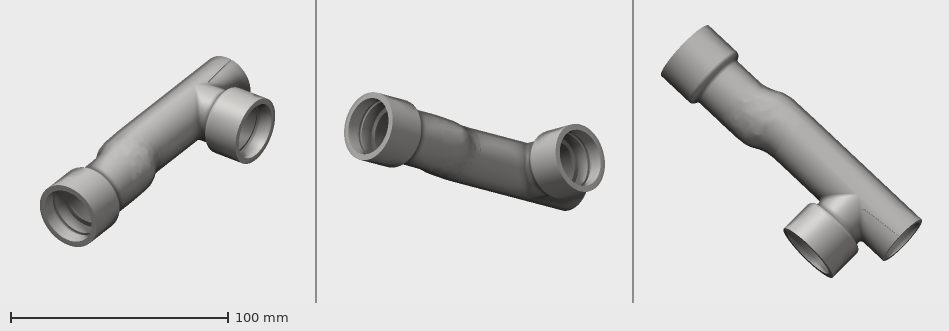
import cadquery as cq
import math


length = 134.8
branch_end_x = 29.7
pipe_radius = 26.0 / 2
bore_radius = 22.0 / 2

socket_radius = 32.0 / 2
socket_bore_radius = 26.4 / 2
socket_bore_depth = 15.0
ring_groove_radius = 28.5 / 2
ring_groove_start = 6.7
ring_groove_width = 1.9
lower_socket_length = 18.0
branch_socket_length = 15.9
shoulder_length = 4.0

branch_y = 107.9
branch_radius = 25.9 / 2
saddle_fillet = 1.5

axis_shift = 5.0
bend_mid_y = 49.8
hollow_length = 9.8
crown_length = 8.2
bend_reach = 15.1
bend_sections = 14

groove_width = 0.8
groove_depth = 0.4
groove_start_x = -0.7
groove_start_y = 113.5
groove_end_x = -2.5

upper_x = -axis_shift


def s_curve(distance):
    """Sideways shift of a bend side at a distance from the start of its hollow arc."""
    total_length = hollow_length + crown_length
    hollow_shift = axis_shift * hollow_length / total_length
    crown_shift = axis_shift - hollow_shift
    if distance <= 0:
        return 0.0
    if distance >= total_length:
        return axis_shift
    if distance <= hollow_length:
        hollow_radius = (hollow_length**2 + hollow_shift**2) / (2 * hollow_shift)
        return hollow_radius - math.sqrt(hollow_radius**2 - distance**2)
    crown_radius = (crown_length**2 + crown_shift**2) / (2 * crown_shift)
    remaining = total_length - distance
    return axis_shift - crown_radius + math.sqrt(crown_radius**2 - remaining**2)


def bend(radius):
    """Solid S-bend whose oval sections join two round ends of the given radius."""
    sections = cq.Workplane("XZ", origin=(0, bend_mid_y + bend_reach, 0))
    step = 2 * bend_reach / bend_sections
    for index in range(bend_sections + 1):
        travel = index * step
        right_shift = s_curve(travel)
        left_shift = axis_shift - s_curve(2 * bend_reach - travel)
        centre_x = upper_x + (right_shift + left_shift) / 2
        half_width = radius + max(0.0, (right_shift - left_shift) / 2)
        if index > 0:
            sections = sections.workplane(offset=step)
        sections = sections.center(centre_x - sections.plane.origin.x, 0).ellipse(half_width, radius)
    return sections.loft(ruled=False, combine=True)


def round_bar(radius, x, start_y, end_y):
    """Round bar parallel to the Y axis."""
    return cq.Workplane("XZ", origin=(x, start_y, 0)).circle(radius).extrude(start_y - end_y)


def offset_pipe(radius):
    """Lower pipe, S-bend and upper pipe as one solid of the given radius."""
    bend_bottom = bend_mid_y - bend_reach
    bend_top = bend_mid_y + bend_reach
    lower = round_bar(radius, 0, 0, bend_bottom)
    upper = round_bar(radius, upper_x, bend_top, length)
    return lower.union(bend(radius)).union(upper)


def socket_body(full_length, neck_radius):
    """Socket along +Y from its mouth at the origin, with an S-shaped shoulder down to its neck."""
    mid_radius = (socket_radius + neck_radius) / 2
    shoulder_end = full_length + shoulder_length
    return (
        cq.Workplane("XY")
        .lineTo(socket_radius, 0)
        .lineTo(socket_radius, full_length)
        .tangentArcPoint((mid_radius, full_length + shoulder_length / 2), relative=False)
        .tangentArcPoint((neck_radius, shoulder_end), relative=False)
        .lineTo(0, shoulder_end)
        .close()
        .revolve(360, (0, 0, 0), (0, 1, 0))
    )


def socket_bore():
    """Socket bore along +Y from its mouth at the origin, with a square ring groove in its wall."""
    groove_end = ring_groove_start + ring_groove_width
    return (
        cq.Workplane("XY")
        .polyline([
            (0, 0),
            (socket_bore_radius, 0),
            (socket_bore_radius, ring_groove_start),
            (ring_groove_radius, ring_groove_start),
            (ring_groove_radius, groove_end),
            (socket_bore_radius, groove_end),
            (socket_bore_radius, socket_bore_depth),
            (0, socket_bore_depth),
        ])
        .close()
        .revolve(360, (0, 0, 0), (0, 1, 0))
    )


def on_branch(shape):
    """Move a socket shape from the lower pipe to the end of the branch."""
    return shape.rotate((0, 0, 0), (0, 0, 1), 90).translate((branch_end_x, branch_y, 0))


def branch_bar(radius):
    """Round bar from the upper pipe axis to the mouth of the branch."""
    bar_length = branch_end_x - upper_x
    return cq.Workplane("YZ", origin=(upper_x, branch_y, 0)).circle(radius).extrude(bar_length)


def saddle_edges(shape):
    """Curved edges where the branch leaves the upper pipe."""
    region = cq.selectors.BoxSelector(
        (upper_x, branch_y - pipe_radius, -pipe_radius),
        (upper_x + pipe_radius, branch_y + pipe_radius, pipe_radius),
    )
    return shape.edges("not %LINE").edges(region)


def groove():
    """Narrow cut from the branch saddle to the open end, slanting across the top of the pipe."""
    half_width = groove_width / 2
    cutter = (
        cq.Workplane("XY")
        .polyline([
            (groove_start_x - half_width, groove_start_y),
            (groove_start_x + half_width, groove_start_y),
            (groove_end_x + half_width, length),
            (groove_end_x - half_width, length),
        ])
        .close()
        .extrude(pipe_radius)
    )
    return cutter.cut(round_bar(pipe_radius - groove_depth, upper_x, 0, length))


body = offset_pipe(pipe_radius).union(branch_bar(branch_radius))
body = saddle_edges(body).fillet(saddle_fillet)
body = body.union(socket_body(lower_socket_length, pipe_radius))
body = body.union(on_branch(socket_body(branch_socket_length, branch_radius)))

result = (
    body.cut(offset_pipe(bore_radius))
    .cut(branch_bar(bore_radius))
    .cut(socket_bore())
    .cut(on_branch(socket_bore()))
    .cut(groove())
)